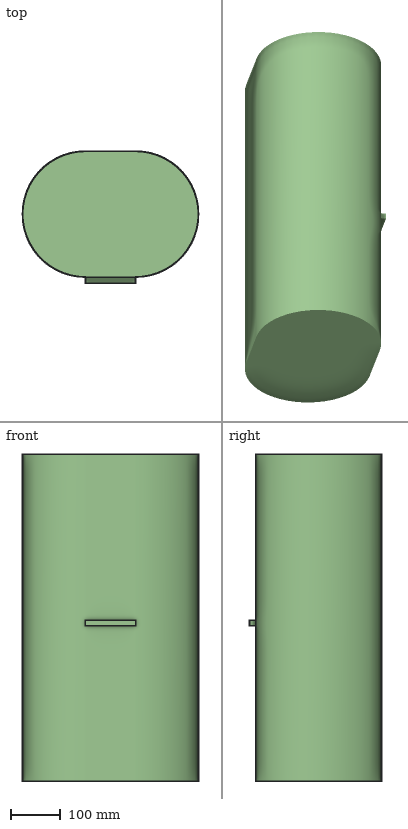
import cadquery as cq

height = 660.5
width = 355.0
depth = 254.0
flat_width = width - depth
front_y = -depth / 2

bar_height = 12.0
bar_projection = 12.5
bar_middle_z = 319.5


def make_column():
    return cq.Workplane("XY").slot2D(width, depth).extrude(height)


def make_front_bar():
    return (
        cq.Workplane("XZ", origin=(0, front_y, bar_middle_z))
        .rect(flat_width, bar_height)
        .extrude(bar_projection)
    )


result = make_column().union(make_front_bar())